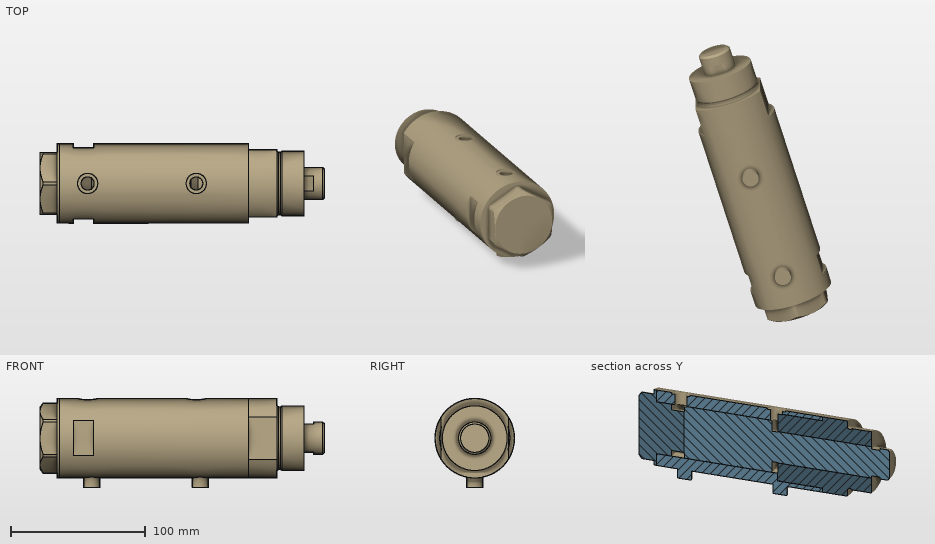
import cadquery as cq
import math

total_length = 211.2
outer_radius = 29.5
bore_radius = 20.0

flange_start = 12.8
barrel_start = 14.8
barrel_end = 154.8
gland_shoulder = 175.8
nose_end = 196.0

hex_across_flats = 46.0
hex_turned_radius = 26.0
hex_face_radius = 22.75
hex_chamfer_length = 2.5
plug_spigot_end = 28.0
stop_radius = 16.0

piston_start = 38.5
piston_end = 112.2
rod_radius = 12.0
rod_chamfer = 1.5
rod_flat_height = 10.6
rod_flat_length = 7.0

gland_spigot_start = 117.2
gland_spigot_radius = 26.0
gland_flat_offset = 25.0
nose_radius = 24.0
relief_depth = 0.8
relief_side = 1.3
relief_width = 3.9

port_x = 35.5
stub_x = 38.5
pair_spacing = 80.5
port_diameter = 9.7
spotface_diameter = 15.0
spotface_depth = 1.0
stub_radius = 6.0
stub_end_z = -36.6
barrel_flat_start = 25.0
barrel_flat_length = 15.0
barrel_flat_offset = 26.5


def cylinder_x(radius, start, end):
    """Cylinder on the X axis between two stations."""
    return cq.Workplane("YZ", origin=(start, 0, 0)).circle(radius).extrude(end - start)


def revolve_x(profile):
    """Turn a closed (x, radius) profile about the X axis, with the seam along +Z."""
    return cq.Workplane("XZ").polyline(profile).close().revolve(360, (0, 0, 0), (1, 0, 0))


def cut_flat_pair(body, axis, start, length, offset):
    """Cut two opposite flats at the given distance from the axis of the part."""
    for side in (-1, 1):
        shift = side * (offset + outer_radius / 2)
        if axis == "Y":
            block = cq.Workplane("XY").box(length, outer_radius, 3 * outer_radius)
            block = block.translate((start + length / 2, shift, 0))
        else:
            block = cq.Workplane("XY").box(length, 3 * outer_radius, outer_radius)
            block = block.translate((start + length / 2, 0, shift))
        body = body.cut(block)
    return body


def make_barrel():
    barrel = cylinder_x(outer_radius, barrel_start, barrel_end)
    for index in range(2):
        x = stub_x + index * pair_spacing
        stub = cq.Workplane("XY", origin=(x, 0, stub_end_z)).circle(stub_radius).extrude(-stub_end_z)
        barrel = barrel.union(stub)
    barrel = barrel.cut(cylinder_x(bore_radius, barrel_start, barrel_end))
    barrel = barrel.cut(cylinder_x(gland_spigot_radius, gland_spigot_start, barrel_end))
    spotface_z = outer_radius - spotface_depth
    for index in range(2):
        floor = cq.Workplane("XY", origin=(port_x + index * pair_spacing, 0, spotface_z))
        barrel = barrel.cut(floor.circle(spotface_diameter / 2).extrude(2 * spotface_depth))
        barrel = barrel.cut(floor.circle(port_diameter / 2).extrude(-spotface_z))
    return cut_flat_pair(barrel, "Y", barrel_flat_start, barrel_flat_length, barrel_flat_offset)


def make_plug():
    across_corners = hex_across_flats / math.cos(math.pi / 6)
    prism = cq.Workplane("YZ").polygon(6, across_corners).extrude(flange_start)
    prism = prism.rotate((0, 0, 0), (1, 0, 0), 90)
    envelope = revolve_x([
        (0, 0),
        (0, hex_face_radius),
        (hex_chamfer_length, hex_turned_radius),
        (flange_start, hex_turned_radius),
        (flange_start, 0),
    ])
    head = prism.intersect(envelope)
    flange = cylinder_x(outer_radius, flange_start, barrel_start)
    spigot = cylinder_x(bore_radius, barrel_start, plug_spigot_end)
    stop = cylinder_x(stop_radius, plug_spigot_end, piston_start)
    return head.union(flange).union(spigot).union(stop)


def make_gland():
    relief_radius = nose_radius - relief_depth
    relief_end = gland_shoulder + relief_width
    gland = revolve_x([
        (gland_spigot_start, rod_radius),
        (gland_spigot_start, gland_spigot_radius),
        (barrel_end, gland_spigot_radius),
        (barrel_end, outer_radius),
        (gland_shoulder, outer_radius),
        (gland_shoulder, nose_radius),
        (gland_shoulder + relief_side, relief_radius),
        (relief_end - relief_side, relief_radius),
        (relief_end, nose_radius),
        (nose_end, nose_radius),
        (nose_end, rod_radius),
    ])
    return cut_flat_pair(gland, "Y", barrel_end, gland_shoulder - barrel_end, gland_flat_offset)


def make_piston_rod():
    rod = revolve_x([
        (piston_start, 0),
        (piston_start, bore_radius),
        (piston_end, bore_radius),
        (piston_end, rod_radius),
        (total_length - rod_chamfer, rod_radius),
        (total_length, rod_radius - rod_chamfer),
        (total_length, 0),
    ])
    return cut_flat_pair(rod, "Z", nose_end, rod_flat_length, rod_flat_height)


barrel = make_barrel()
plug = make_plug()
gland = make_gland()
piston_rod = make_piston_rod()

result = cq.Compound.makeCompound([barrel.val(), plug.val(), gland.val(), piston_rod.val()])